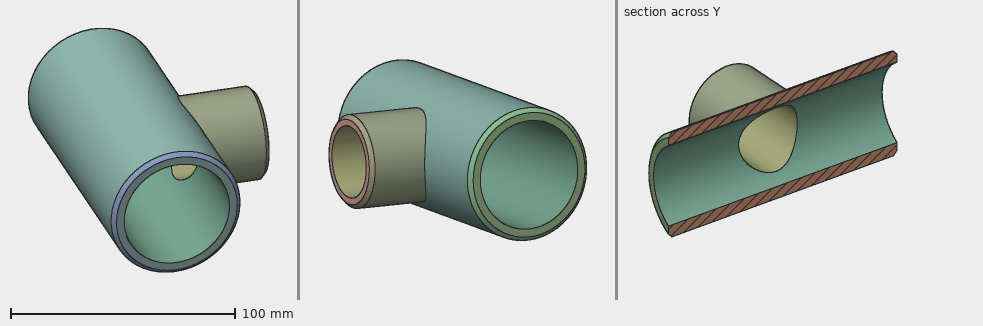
import cadquery as cq

run_length = 127.0
run_diameter = 60.3
run_bore = 49.3

branch_diameter = 42.2
branch_bore = 32.5
branch_reach = 57.2

bevel = 1.9


def run_cylinder(diameter):
    """Cylinder over the full length of the run."""
    return cq.Workplane("YZ").circle(diameter / 2).extrude(run_length / 2, both=True)


def branch_cylinder(diameter):
    """Cylinder from the run axis to the branch end face."""
    return cq.Workplane("XZ").circle(diameter / 2).extrude(-branch_reach)


run = run_cylinder(run_diameter).faces("<X or >X").chamfer(bevel)
branch = branch_cylinder(branch_diameter).faces(">Y").chamfer(bevel)

bores = run_cylinder(run_bore).union(branch_cylinder(branch_bore))

result = run.union(branch).cut(bores)